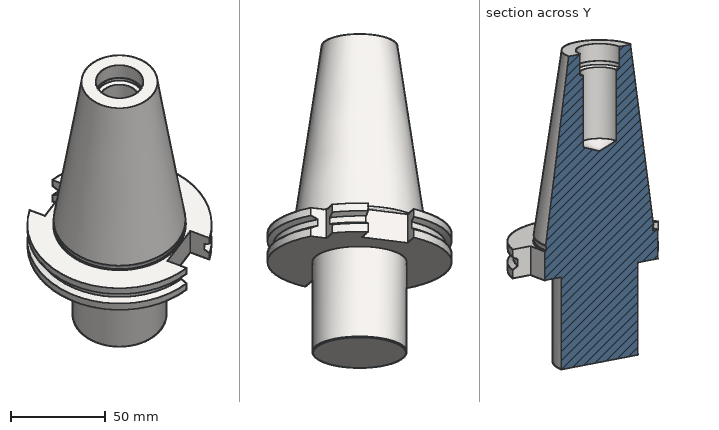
import cadquery as cq
import math

total_length = 171.6
nose_diameter = 50.0
nose_chamfer = 0.5
flange_diameter = 97.5
flange_bottom = 50.8
flange_height = 16.0
flange_top = flange_bottom + flange_height
gauge_height = 70.0
gauge_diameter = 69.8
taper_ratio = 7 / 24
collar_diameter = 69.3
collar_step_height = 1.0
collar_flare = 0.5

groove_depth = 3.1
groove_floor_width = 3.5
groove_flank_angle = 30.0
groove_rise = 0.2
groove_center = flange_bottom + flange_height / 2 + groove_rise

slot_width = 25.7
left_slot_floor = 37.8
right_slot_floor = 35.5
notch_x = 29.7
notch_y = 29.9

counterbore_diameter = 25.0
counterbore_depth = 9.5
lower_counterbore_diameter = 25.4
lower_counterbore_depth = 11.5
seat_angle = 140.0
bore_diameter = 21.0
bore_depth = 51.5
drill_point_angle = 140.0

flange_radius = flange_diameter / 2


def make_body():
    """Nose, flange, collar and taper turned as one profile."""
    nose_radius = nose_diameter / 2
    small_end_radius = (gauge_diameter - taper_ratio * (total_length - gauge_height)) / 2
    profile = [
        (0, 0),
        (nose_radius - nose_chamfer, 0),
        (nose_radius, nose_chamfer),
        (nose_radius, flange_bottom),
        (flange_radius, flange_bottom),
        (flange_radius, flange_top),
        (collar_diameter / 2 + collar_flare, flange_top),
        (collar_diameter / 2, flange_top + collar_flare),
        (collar_diameter / 2, gauge_height - collar_step_height),
        (gauge_diameter / 2, gauge_height),
        (small_end_radius, total_length),
        (0, total_length),
    ]
    return cq.Workplane("XZ").polyline(profile).close().revolve(360, (0, 0), (0, 1))


def make_gripper_groove():
    """Ring with sloping flanks and a flat floor."""
    floor_half = groove_floor_width / 2
    mouth_half = floor_half + groove_depth * math.tan(math.radians(groove_flank_angle))
    floor_radius = flange_radius - groove_depth
    profile = [
        (floor_radius, groove_center - floor_half),
        (flange_radius, groove_center - mouth_half),
        (flange_radius, groove_center + mouth_half),
        (floor_radius, groove_center + floor_half),
    ]
    return cq.Workplane("XZ").polyline(profile).close().revolve(360, (0, 0), (0, 1))


def make_flange_cut(x_min, x_max, y_min, y_max):
    """Rectangular cutter through the full flange height."""
    return (
        cq.Workplane("XY", origin=(0, 0, flange_bottom))
        .moveTo(x_min, y_min)
        .lineTo(x_max, y_min)
        .lineTo(x_max, y_max)
        .lineTo(x_min, y_max)
        .close()
        .extrude(flange_height)
    )


def make_drawbar_bore():
    """Stepped counterbore, conical seat, bore and conical drill point."""
    bore_radius = bore_diameter / 2
    counterbore_radius = counterbore_diameter / 2
    lower_radius = lower_counterbore_diameter / 2
    counterbore_floor = total_length - counterbore_depth
    lower_floor = total_length - lower_counterbore_depth
    seat_height = (lower_radius - bore_radius) / math.tan(math.radians(seat_angle / 2))
    bore_floor = total_length - bore_depth
    point_height = bore_radius / math.tan(math.radians(drill_point_angle / 2))
    profile = [
        (0, bore_floor - point_height),
        (bore_radius, bore_floor),
        (bore_radius, lower_floor - seat_height),
        (lower_radius, lower_floor),
        (lower_radius, counterbore_floor),
        (counterbore_radius, counterbore_floor),
        (counterbore_radius, total_length),
        (0, total_length),
    ]
    return cq.Workplane("XZ").polyline(profile).close().revolve(360, (0, 0), (0, 1))


slot_half = slot_width / 2
left_slot = make_flange_cut(-flange_radius, -left_slot_floor, -slot_half, slot_half)
right_slot = make_flange_cut(right_slot_floor, flange_radius, -slot_half, slot_half)
notch = make_flange_cut(-flange_radius, -notch_x, notch_y, flange_radius)

result = make_body()
for cutter in (make_gripper_groove(), left_slot, right_slot, notch, make_drawbar_bore()):
    result = result.cut(cutter)